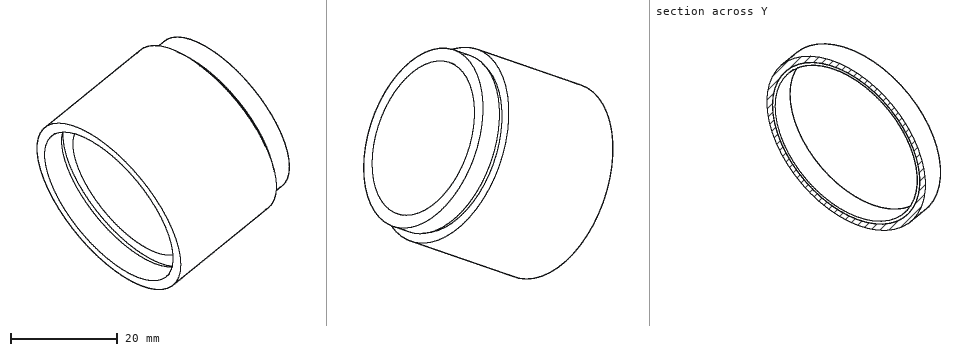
import cadquery as cq

body_diameter = 38.1
spigot_diameter = 35.0
groove_diameter = 34.1
bore_diameter = 30.0
counterbore_diameter = 34.0

total_length = 30.4
spigot_length = 4.0
groove_width = 1.0
counterbore_depth = 4.5
undercut_diameter = 35.2
undercut_width = 1.0

body_length = total_length - spigot_length - groove_width


def cylinder_along_y(diameter, start, length):
    """Solid cylinder on the Y axis, running from `start` towards +Y."""
    base = cq.Workplane("XZ", origin=(0, start, 0))
    return base.circle(diameter / 2).extrude(-length)


body = cylinder_along_y(body_diameter, 0, body_length)
neck = cylinder_along_y(groove_diameter, body_length, groove_width)
spigot = cylinder_along_y(spigot_diameter, body_length + groove_width, spigot_length)

bore = cylinder_along_y(bore_diameter, 0, total_length)
counterbore = cylinder_along_y(counterbore_diameter, 0, counterbore_depth)
undercut = cylinder_along_y(undercut_diameter, counterbore_depth, undercut_width)

result = body.union(neck).union(spigot).cut(bore).cut(counterbore).cut(undercut)